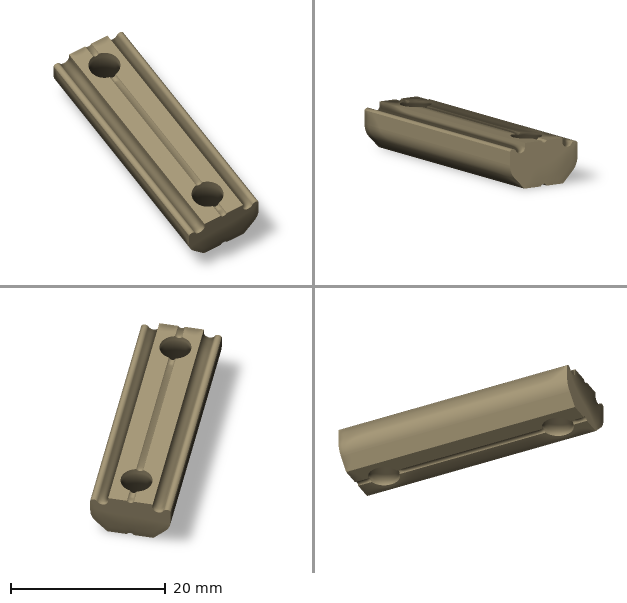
import cadquery as cq
import math

length = 33.0
width = 10.6
height = 6.0

land_width = 5.87
channel_radius = 0.75
channel_depth = 1.3
lip_radius = 0.53
lip_inset = 0.45

base_width = 6.07
flank_angle = 45.0
flank_radius = 2.5

groove_radius = 0.5
groove_depth = 0.3

hole_diameter = 4.12
hole_end_distance = 3.95

half_width = width / 2
half_land = land_width / 2
half_base = base_width / 2

channel_y = half_land + channel_radius
channel_z = height - channel_depth + channel_radius
lip_y = half_width - lip_inset
lip_angle = math.acos((lip_y - channel_y) / (channel_radius + lip_radius))
lip_z = channel_z - (channel_radius + lip_radius) * math.sin(lip_angle)
lip_wall_angle = math.acos(lip_inset / lip_radius)

slope = math.radians(flank_angle)
flank_corner_z = (half_width - half_base) * math.tan(slope)
flank_y = half_width - flank_radius
flank_z = flank_corner_z + flank_radius * math.tan((math.pi / 2 - slope) / 2)


def polar(center_y, center_z, radius, angle):
    """Point at an angle on a circle in the YZ plane."""
    return center_y + radius * math.cos(angle), center_z + radius * math.sin(angle)


def half_bar():
    """Half of the bar on the +Y side."""
    flank_end = slope - math.pi / 2
    lip_join_angle = math.pi - lip_angle
    channel_mid_angle = (-math.pi - lip_angle) / 2
    return (
        cq.Workplane("YZ")
        .moveTo(0, 0)
        .lineTo(half_base, 0)
        .lineTo(*polar(flank_y, flank_z, flank_radius, flank_end))
        .threePointArc(
            polar(flank_y, flank_z, flank_radius, flank_end / 2),
            (half_width, flank_z),
        )
        .lineTo(*polar(lip_y, lip_z, lip_radius, lip_wall_angle))
        .threePointArc(
            polar(lip_y, lip_z, lip_radius, (lip_wall_angle + lip_join_angle) / 2),
            polar(lip_y, lip_z, lip_radius, lip_join_angle),
        )
        .threePointArc(
            polar(channel_y, channel_z, channel_radius, channel_mid_angle),
            (half_land, channel_z),
        )
        .lineTo(half_land, height)
        .lineTo(0, height)
        .close()
        .extrude(length / 2, both=True)
    )


def center_grooves():
    """Round-bottomed grooves along the middle of the top and underside."""
    axis_offset = groove_radius - groove_depth
    return (
        cq.Workplane("YZ")
        .pushPoints([(0, height + axis_offset), (0, -axis_offset)])
        .circle(groove_radius)
        .extrude(length / 2, both=True)
    )


def through_holes():
    """Vertical holes near both ends."""
    hole_x = length / 2 - hole_end_distance
    return (
        cq.Workplane("XY")
        .pushPoints([(-hole_x, 0), (hole_x, 0)])
        .circle(hole_diameter / 2)
        .extrude(height)
    )


half = half_bar()
bar = half.union(half.mirror("XZ")).clean()
result = bar.cut(center_grooves()).cut(through_holes())